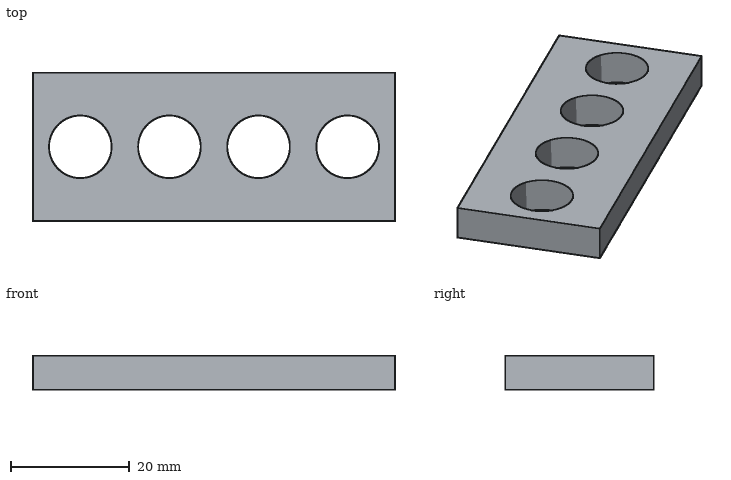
import cadquery as cq

LENGTH = 61.0
WIDTH = 25.0
THICKNESS = 5.75

HOLE_DIAMETER = 10.5
HOLE_COUNT = 4
HOLE_PITCH = 15.0


def make_bar():
    """Plain bar centred in X and Y, with its underside at Z = 0."""
    return cq.Workplane("XY").box(LENGTH, WIDTH, THICKNESS, centered=(True, True, False))


def drill_hole_row(bar):
    """Drill equally spaced through holes on the bar's lengthwise centreline."""
    return (
        bar.faces(">Z")
        .workplane()
        .rarray(HOLE_PITCH, HOLE_PITCH, HOLE_COUNT, 1)
        .hole(HOLE_DIAMETER)
    )


result = drill_hole_row(make_bar())